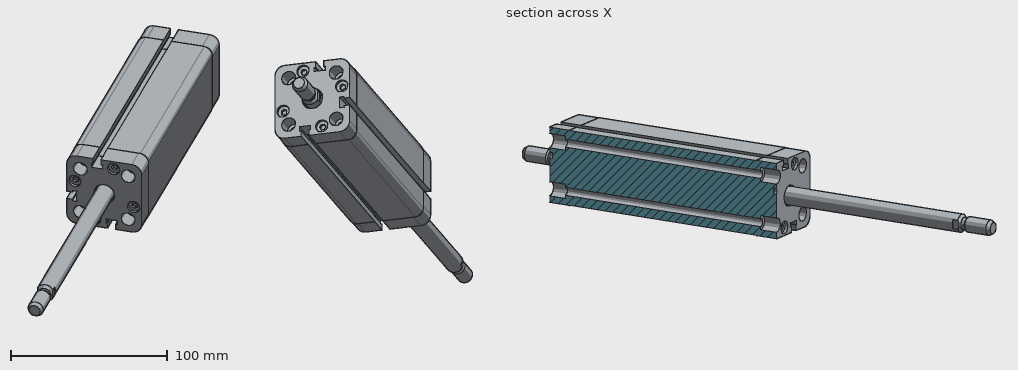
import cadquery as cq

side = 50.0
half_side = side / 2
total_length = 350.5
barrel_length = 170.0
cap_length = 15.0
cap_corner_radius = 6.5
tube_side = 49.8
tube_corner_radius = 5.3

slot_offset = 5.0
slot_mouth = 5.3
slot_width = 7.5
slot_depth = 6.5
slot_lip = 4.0
slot_angles = (0, 90, 180)

mount_spacing = 32.0
mount_offset = mount_spacing / 2
mount_hole_dia = 5.0
mount_bore_dia = 9.0
mount_bore_depth = 12.0

screw_along = 6.3
screw_out = 19.5
screw_pocket_dia = 8.0
screw_pocket_depth = 2.0
socket_size = 4.2
socket_depth = 2.0

rod_dia = 12.0
rod_clearance_dia = 13.5
rod_clearance_depth = 2.0
front_rod_length = 152.5
back_rod_length = total_length - barrel_length - front_rod_length
thread_dia = 10.0
thread_length = 18.2
thread_chamfer_length = 2.5
thread_tip_dia = 7.5
neck_dia = 8.0
neck_length = 2.5
thread_runout = 1.0
shoulder_chamfer = 1.8
flat_length = 5.3
flat_distance = 10.0


def rounded_bar(width, corner_radius, length):
    """Square bar along +Y from y = 0, with rounded long edges."""
    bar = cq.Workplane("XY").box(width, length, width).edges("|Y").fillet(corner_radius)
    return bar.translate((0, length / 2, 0))


def cylinder_along_y(dia, x, z, y_start, length):
    """Cylinder from y_start toward +Y, centred on (x, z)."""
    base = cq.Workplane("XZ", origin=(x, y_start, z))
    return base.circle(dia / 2).extrude(-length)


def turn(shape, angle):
    """Turn a shape about the rod axis."""
    return shape.rotate((0, 0, 0), (0, -1, 0), angle)


def mirror_to_back(shape):
    """Same shape at the back end, mirrored about the middle of the barrel."""
    return shape.mirror("XZ", (0, barrel_length / 2, 0))


def make_slot(face_height, length):
    """T-slot cutter for a top face at the given height, starting at y = 0."""
    mouth_half = slot_mouth / 2
    groove_half = slot_width / 2
    right_side = [
        (groove_half, face_height - slot_depth),
        (groove_half, face_height - slot_lip),
        (mouth_half, face_height - slot_lip),
        (mouth_half, half_side),
    ]
    left_side = [(-x, z) for x, z in reversed(right_side)]
    profile = cq.Workplane("XZ").polyline(right_side + left_side).close()
    return profile.extrude(-length).translate((-slot_offset, 0, 0))


def make_section(width, corner_radius, y_start, length):
    """One length of the barrel, slotted on three faces."""
    section = rounded_bar(width, corner_radius, length)
    for slot_angle in slot_angles:
        section = section.cut(turn(make_slot(width / 2, length), slot_angle))
    return section.translate((0, y_start, 0))


def make_barrel():
    """Two end caps and the slightly narrower tube between them."""
    tube_length = barrel_length - 2 * cap_length
    front_cap = make_section(side, cap_corner_radius, 0, cap_length)
    tube = make_section(tube_side, tube_corner_radius, cap_length, tube_length)
    return front_cap.union(tube).union(mirror_to_back(front_cap))


def make_mount_hole():
    """Through hole, counterbored from both ends."""
    back_start = barrel_length - mount_bore_depth
    hole = cylinder_along_y(mount_hole_dia, mount_offset, mount_offset, 0, barrel_length)
    front_bore = cylinder_along_y(mount_bore_dia, mount_offset, mount_offset, 0, mount_bore_depth)
    back_bore = cylinder_along_y(mount_bore_dia, mount_offset, mount_offset, back_start, mount_bore_depth)
    return hole.union(front_bore).union(back_bore)


def make_screw_pocket():
    """Round pocket with the hexagon socket of the screw at its floor."""
    pocket = cylinder_along_y(screw_pocket_dia, screw_along, screw_out, 0, screw_pocket_depth)
    socket_plane = cq.Workplane("XZ", origin=(screw_along, 0, screw_out))
    socket = socket_plane.polygon(6, socket_size).extrude(-screw_pocket_depth - socket_depth)
    return pocket.union(socket)


def make_rod_half(length):
    """Turned rod from the middle of the barrel to a tip at y = -length."""
    thread_start = thread_length - length
    neck_start = thread_start + thread_runout
    shoulder = neck_start + neck_length
    profile = [
        (0, -length),
        (thread_tip_dia / 2, -length),
        (thread_dia / 2, thread_chamfer_length - length),
        (thread_dia / 2, thread_start),
        (neck_dia / 2, neck_start),
        (neck_dia / 2, shoulder),
        (rod_dia / 2 - shoulder_chamfer, shoulder),
        (rod_dia / 2, shoulder + shoulder_chamfer),
        (rod_dia / 2, barrel_length / 2),
        (0, barrel_length / 2),
    ]
    rod = cq.Workplane("XY").polyline(profile).close().revolve(360, (0, 0, 0), (0, 1, 0))
    flat_middle = shoulder + flat_length / 2
    for direction in (-1, 1):
        cutter = cq.Workplane("XY").box(rod_dia, flat_length, rod_dia)
        x_middle = direction * (flat_distance + rod_dia) / 2
        rod = rod.cut(cutter.translate((x_middle, flat_middle, 0)))
    return rod


result = make_barrel()

front_clearance = cylinder_along_y(rod_clearance_dia, 0, 0, 0, rod_clearance_depth)
result = result.cut(front_clearance).cut(mirror_to_back(front_clearance))

for quarter in range(4):
    screw_pocket = turn(make_screw_pocket(), 90 * quarter)
    result = result.cut(turn(make_mount_hole(), 90 * quarter))
    result = result.cut(screw_pocket).cut(mirror_to_back(screw_pocket))

result = result.union(make_rod_half(front_rod_length))
result = result.union(mirror_to_back(make_rod_half(back_rod_length)))